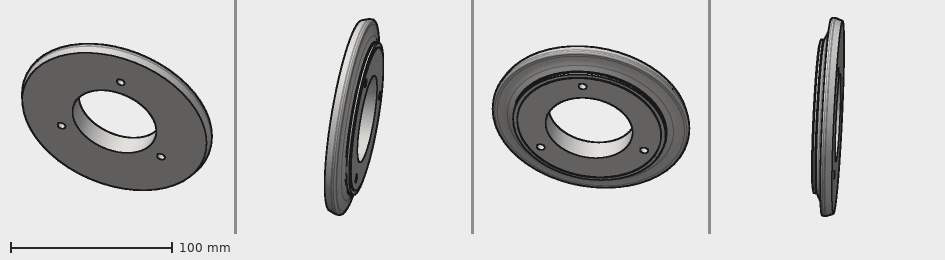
import cadquery as cq
import math

total_depth = 13.4
rim_radius = 61.6
bore_radius = 27.2

bevel_angle = 20.0
bevel_depth = 4.5
bevel_inset = bevel_depth * math.tan(math.radians(bevel_angle))
rim_depth = 7.3
rim_round = 1.4

hub_radius = 47.8
hub_depth = 12.8
face_radius = 45.1

cone_angle = 25.0
cone_end_depth = 10.7
cone_width = (cone_end_depth - rim_depth) / math.tan(math.radians(cone_angle))
cone_outer_radius = hub_radius + cone_width
shoulder_blend = 15.8
hub_blend = 0.7

hole_count = 3
hole_diameter = 5.0
hole_circle_radius = 37.6
first_hole_angle = 83.7


def make_ring():
    """Revolve the sharp-cornered half section about the Y axis."""
    outline = [
        (bore_radius, 0),
        (rim_radius - bevel_inset, 0),
        (rim_radius, bevel_depth),
        (rim_radius, rim_depth),
        (cone_outer_radius, rim_depth),
        (hub_radius, cone_end_depth),
        (hub_radius, hub_depth),
        (face_radius, hub_depth),
        (face_radius, total_depth),
        (bore_radius, total_depth),
    ]
    section = cq.Workplane("XY").polyline(outline).close()
    return section.revolve(360, (0, 0, 0), (0, 1, 0))


def round_edge(body, edge_radius, depth, blend_radius):
    """Fillet the circular edge that has the given radius and depth."""
    tolerance = 0.001

    def is_wanted(edge):
        same_radius = abs(edge.radius() - edge_radius) < tolerance
        same_depth = abs(edge.Center().y - depth) < tolerance
        return same_radius and same_depth

    return body.edges("%CIRCLE").filter(is_wanted).fillet(blend_radius)


def make_holes():
    """Cylinders along +Y, spaced evenly around the axis."""
    return (
        cq.Workplane("XZ")
        .polarArray(hole_circle_radius, first_hole_angle, 360, hole_count)
        .circle(hole_diameter / 2)
        .extrude(-total_depth)
    )


ring = make_ring()
ring = round_edge(ring, rim_radius, bevel_depth, rim_round)
ring = round_edge(ring, rim_radius, rim_depth, rim_round)
ring = round_edge(ring, cone_outer_radius, rim_depth, shoulder_blend)
ring = round_edge(ring, hub_radius, cone_end_depth, hub_blend)

result = ring.cut(make_holes())